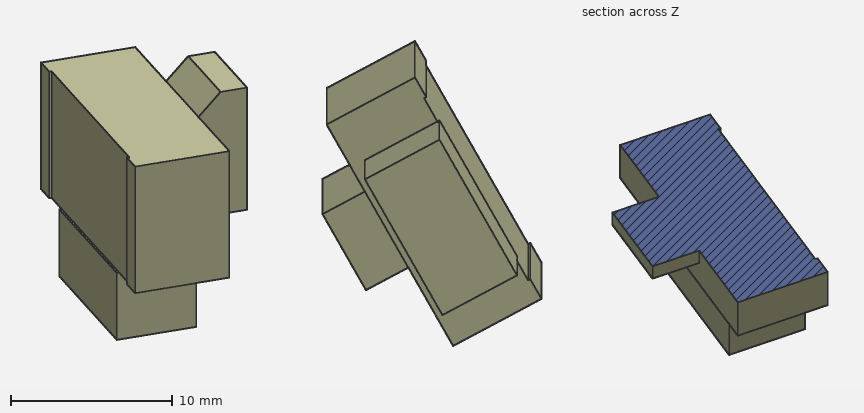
import cadquery as cq

body_width = 16.24
body_depth = 6.26
body_height = 8.67

strip_width = 1.44
recess_depth = 0.15

plug_width = 9.95
plug_depth = 5.28
plug_height = 4.59

slider_width = 5.58
slider_depth = 3.23
slider_height = 8.38
slider_rise = 1.47


def block(width, depth, height, front, bottom):
    """Box centred in X, with its front face at Y = front and underside at Z = bottom."""
    return cq.Workplane("XY").box(width, depth, height, centered=(True, False, False)).translate(
        (0, front, bottom)
    )


def make_housing():
    housing = block(body_width, body_depth, body_height, 0, 0)
    recess_width = body_width - 2 * strip_width
    return housing.cut(block(recess_width, recess_depth, body_height, 0, 0))


def make_plug():
    return block(plug_width, plug_depth, plug_height, 0, -plug_height)


def make_slider():
    bottom = body_height + slider_rise - slider_height
    slider = block(slider_width, slider_depth, slider_height, body_depth, bottom)
    return slider.edges("<Y and >Z").chamfer(slider_rise)


result = make_housing().union(make_plug()).union(make_slider())